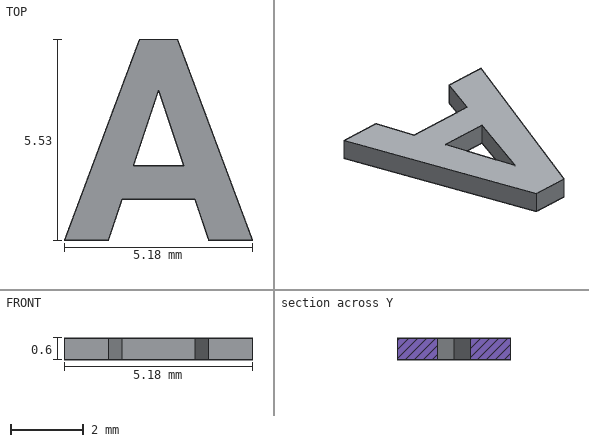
import cadquery as cq

width = 5.18
height = 5.53
thickness = 0.6

apex_width = 1.05
foot_width = 1.21
crotch_width = 2.0
crotch_height = 1.13

crossbar_height = 0.93
window_width = 1.375
window_height = 2.07

half_width = width / 2
foot_inner = half_width - foot_width
window_base = crotch_height + crossbar_height

right_side = [
    (apex_width / 2, height),
    (half_width, 0),
    (foot_inner, 0),
    (crotch_width / 2, crotch_height),
]
left_side = [(-x, y) for x, y in reversed(right_side)]

window = [
    (-window_width / 2, window_base),
    (window_width / 2, window_base),
    (0, window_base + window_height),
]

result = (
    cq.Workplane("XY")
    .polyline(right_side + left_side)
    .close()
    .polyline(window)
    .close()
    .extrude(thickness)
)